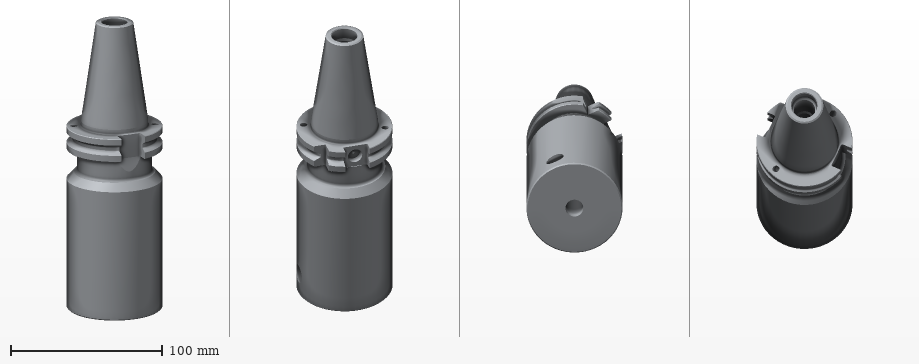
import cadquery as cq
import math

total_height = 197.2
head_cylinder_top = 89.0
head_top = 94.0
flange_bottom = 109.7
flange_top = 125.6
gauge_height = 129.2

head_radius = 31.8
flange_radius = head_radius
shoulder_radius = 27.0
neck_radius = 24.7
gauge_radius = 22.3
taper_ratio = 7 / 24
taper_tip_radius = gauge_radius - (total_height - gauge_height) * taper_ratio / 2

head_chamfer = 0.8
flange_chamfer = 0.4
tip_chamfer_width = 1.0
tip_chamfer_height = 0.5
neck_lower_fillet = 2.0
neck_upper_fillet = 0.8
taper_root_fillet = 1.0

groove_center = 117.8
groove_opening = 7.1
groove_root_radius = 28.0
groove_flank_angle = 30.0
groove_root_fillet = 0.5

coolant_bore_radius = 6.0
thread_bore_radius = 7.1
counterbore_radius = 8.5
bore_mouth_chamfer = 0.5
counterbore_depth = 7.9
thread_depth = 31.5

slot_width = 16.8
slot_corner_radius = 1.0
shallow_slot_floor = 24.9
deep_slot_floor = 23.0
slot_runout_bottom = 100.5

notch_x = -18.0
notch_y = 18.3

chip_radius = 5.0
chip_hole_depth = 9.0
chip_recess = 4.7
chip_dimple_radius = 1.2
chip_dimple_depth = 1.2

coolant_hole_radius = 2.2
coolant_hole_circle = 27.0
coolant_hole_first_angle = 70.0
coolant_hole_tilt = 25.0
coolant_hole_depth = 6.0
drill_tip_angle = 118.0

clamp_hole_radius = 6.3
clamp_hole_height = 15.8
clamp_hole_depth = 7.9


def turned_blank():
    profile = (
        cq.Workplane("XZ")
        .moveTo(0, 0)
        .lineTo(head_radius - head_chamfer, 0)
        .lineTo(head_radius, head_chamfer)
        .lineTo(head_radius, head_cylinder_top)
        .lineTo(shoulder_radius, head_top)
        .lineTo(neck_radius + neck_lower_fillet, head_top)
        .radiusArc((neck_radius, head_top + neck_lower_fillet), neck_lower_fillet)
        .lineTo(neck_radius, flange_bottom - neck_upper_fillet)
        .radiusArc((neck_radius + neck_upper_fillet, flange_bottom), neck_upper_fillet)
        .lineTo(flange_radius - flange_chamfer, flange_bottom)
        .lineTo(flange_radius, flange_bottom + flange_chamfer)
        .lineTo(flange_radius, flange_top - flange_chamfer)
        .lineTo(flange_radius - flange_chamfer, flange_top)
        .lineTo(gauge_radius + taper_root_fillet, flange_top)
        .radiusArc((gauge_radius, flange_top + taper_root_fillet), taper_root_fillet)
        .lineTo(gauge_radius, gauge_height)
        .lineTo(taper_tip_radius + tip_chamfer_height * taper_ratio / 2, total_height - tip_chamfer_height)
        .lineTo(taper_tip_radius - tip_chamfer_width, total_height)
        .lineTo(0, total_height)
        .close()
    )
    return profile.revolve(360, (0, 0, 0), (0, 1, 0))


def gripper_groove():
    flank_height = (flange_radius - groove_root_radius) * math.tan(math.radians(groove_flank_angle))
    half_opening = groove_opening / 2
    half_root = half_opening - flank_height
    ring = (
        cq.Workplane("XZ")
        .moveTo(flange_radius, groove_center - half_opening)
        .lineTo(groove_root_radius, groove_center - half_root)
        .lineTo(groove_root_radius, groove_center + half_root)
        .lineTo(flange_radius, groove_center + half_opening)
        .close()
        .revolve(360, (0, 0, 0), (0, 1, 0))
    )
    root_edges = cq.selectors.RadiusNthSelector(0)
    return ring.edges(root_edges).fillet(groove_root_fillet)


def central_bore():
    counterbore_floor = total_height - counterbore_depth
    counterbore_step = counterbore_radius - thread_bore_radius
    thread_end = total_height - thread_depth
    thread_step = thread_bore_radius - coolant_bore_radius
    profile = (
        cq.Workplane("XZ")
        .moveTo(0, 0)
        .lineTo(coolant_bore_radius, 0)
        .lineTo(coolant_bore_radius, thread_end - thread_step)
        .lineTo(thread_bore_radius, thread_end)
        .lineTo(thread_bore_radius, counterbore_floor - counterbore_step)
        .lineTo(counterbore_radius, counterbore_floor)
        .lineTo(counterbore_radius, total_height - bore_mouth_chamfer)
        .lineTo(counterbore_radius + bore_mouth_chamfer, total_height)
        .lineTo(0, total_height)
        .close()
    )
    return profile.revolve(360, (0, 0, 0), (0, 1, 0))


def drive_slot(floor_distance):
    """Slot through the flange on the +X side, with rounded floor corners."""
    length = flange_radius - floor_distance
    return (
        cq.Workplane("XY", origin=(floor_distance + length / 2, 0, flange_bottom))
        .rect(length, slot_width)
        .extrude(flange_top - flange_bottom)
        .edges("|Z and <X")
        .fillet(slot_corner_radius)
    )


def slot_runout():
    """Wedge that fades the deep slot out along the neck."""
    return (
        cq.Workplane("XZ")
        .moveTo(deep_slot_floor, flange_bottom)
        .lineTo(neck_radius, slot_runout_bottom)
        .lineTo(neck_radius + neck_upper_fillet, flange_bottom)
        .close()
        .extrude(slot_width / 2, both=True)
    )


def orientation_notch():
    """Square-cornered cut through the full flange height, open toward -X and +Y."""
    return (
        cq.Workplane("XY", origin=(notch_x, notch_y, flange_bottom))
        .rect(-flange_radius, flange_radius, centered=False)
        .extrude(flange_top - flange_bottom)
    )


def chip_cylinder(depth):
    """Cylinder from the shallow slot floor inward to the given depth."""
    return (
        cq.Workplane("YZ", origin=(-shallow_slot_floor, 0, groove_center))
        .circle(chip_radius)
        .extrude(depth)
    )


def coolant_hole(angle):
    """Drilled hole with a conical tip, leaning in toward the axis as it goes down."""
    tip_length = coolant_hole_radius / math.tan(math.radians(drill_tip_angle / 2))
    profile = (
        cq.Workplane("XZ")
        .moveTo(0, coolant_hole_radius)
        .lineTo(coolant_hole_radius, coolant_hole_radius)
        .lineTo(coolant_hole_radius, -coolant_hole_depth)
        .lineTo(0, -coolant_hole_depth - tip_length)
        .close()
    )
    return (
        profile.revolve(360, (0, 0, 0), (0, 1, 0))
        .rotate((0, 0, 0), (0, 1, 0), coolant_hole_tilt)
        .translate((coolant_hole_circle, 0, flange_top))
        .rotate((0, 0, 0), (0, 0, 1), angle)
    )


def clamp_hole():
    return (
        cq.Workplane("XZ", origin=(0, head_radius, clamp_hole_height))
        .circle(clamp_hole_radius)
        .extrude(clamp_hole_depth)
    )


def make_holder():
    holder = turned_blank().cut(gripper_groove()).cut(central_bore())
    holder = holder.cut(drive_slot(deep_slot_floor)).cut(slot_runout())
    holder = holder.cut(drive_slot(shallow_slot_floor).rotate((0, 0, 0), (0, 0, 1), 180))
    holder = holder.cut(orientation_notch())
    holder = holder.cut(chip_cylinder(chip_hole_depth))
    for angle in (coolant_hole_first_angle, coolant_hole_first_angle + 180):
        holder = holder.cut(coolant_hole(angle))
    return holder.cut(clamp_hole())


def make_data_chip():
    """Disc at the bottom of its hole, with a conical dimple in the outer face."""
    disc = chip_cylinder(chip_hole_depth).cut(chip_cylinder(chip_recess))
    dimple = cq.Solid.makeCone(
        chip_dimple_radius,
        0,
        chip_dimple_depth,
        cq.Vector(chip_recess - shallow_slot_floor, 0, groove_center),
        cq.Vector(1, 0, 0),
    )
    return disc.cut(cq.Workplane(dimple))


holder = make_holder()
data_chip = make_data_chip()

result = cq.Compound.makeCompound([holder.solids().val(), data_chip.solids().val()])